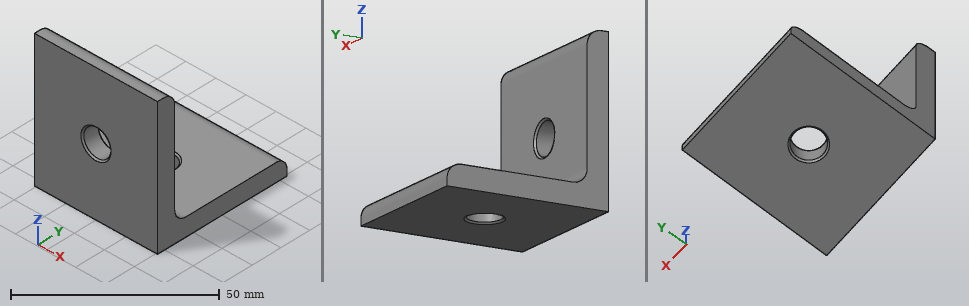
import cadquery as cq

width = 41.0
leg = 45.0
thickness = 6.0
round_radius = 4.0
hole_diameter = 9.0
hole_chamfer = 0.5

hole_radius = hole_diameter / 2
hole_offset = leg / 2


def angle_body():
    """L-shaped section in YZ, extruded along X, with rounded tips and inner corner."""
    body = (
        cq.Workplane("YZ")
        .moveTo(0, 0)
        .lineTo(leg, 0)
        .lineTo(leg, thickness)
        .lineTo(thickness, thickness)
        .lineTo(thickness, leg)
        .lineTo(0, leg)
        .close()
        .extrude(width / 2, both=True)
    )
    rounded_corners = [(leg, thickness), (thickness, thickness), (thickness, leg)]
    for y, z in rounded_corners:
        edge = cq.selectors.NearestToPointSelector((0, y, z))
        body = body.edges("|X").edges(edge).fillet(round_radius)
    return body


def hole_cutter():
    """Vertical hole through the base leg, flared at both rims."""
    rim_radius = hole_radius + hole_chamfer
    return (
        cq.Workplane("XZ")
        .moveTo(0, 0)
        .lineTo(rim_radius, 0)
        .lineTo(hole_radius, hole_chamfer)
        .lineTo(hole_radius, thickness - hole_chamfer)
        .lineTo(rim_radius, thickness)
        .lineTo(0, thickness)
        .close()
        .revolve(360, (0, 0, 0), (0, 1, 0))
    )


base_hole = hole_cutter().translate((0, hole_offset, 0))
upright_hole = (
    hole_cutter()
    .rotate((0, 0, 0), (1, 0, 0), -90)
    .translate((0, 0, hole_offset))
)

result = angle_body().cut(base_hole).cut(upright_hole)